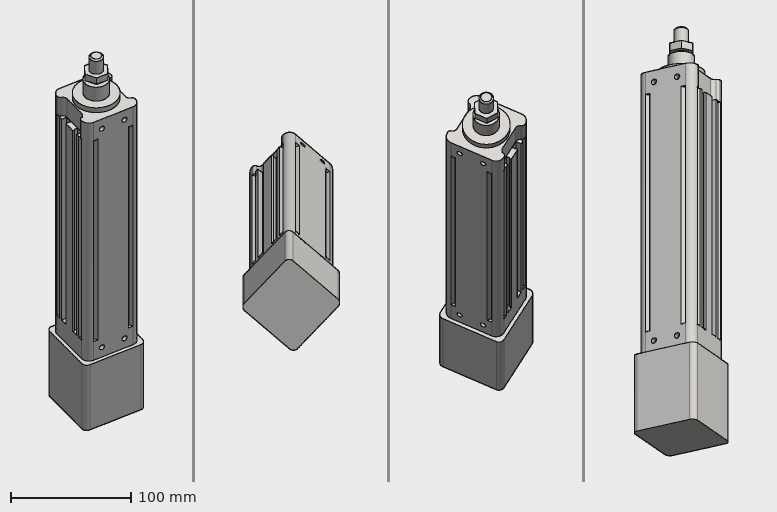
import cadquery as cq
import math

total_height = 370
motor_height = 70.0
body_height = 255.0
flange_thickness = 5.0
boss_height = 14.8
nut_gap = 3.0
nut_height = 7.0

body_top = motor_height + body_height
flange_top = body_top + flange_thickness
boss_top = flange_top + boss_height
nut_bottom = boss_top + nut_gap

motor_side = 60.0
motor_corner_radius = 4.8
body_side = 53.3
body_corner_radius = 7.5
body_half = body_side / 2
flat_half = body_half - body_corner_radius

flange_diameter = 40.0
boss_diameter = 22.2
rod_diameter = 12.2
rod_chamfer = 1.5
nut_across_flats = 19.2
nut_across_corners = nut_across_flats / math.cos(math.pi / 6)

groove_end_margin = 20.0
groove_bottom = motor_height + groove_end_margin
groove_top = body_top - groove_end_margin
groove_length = groove_top - groove_bottom

recess_mouth_half = 18.5
recess_floor_half = 12.0
recess_floor_radius = 4.0
recess_depth = 5.0
slot_depth = 4.8
rib_half = 5.0
rib_bead_width = 1.0
rib_bead_depth = 1.0

v_groove_inner = 14.8
v_groove_apex = 17.5
v_groove_outer = flat_half
v_groove_depth = 3.5

hole_diameter = 4.8
hole_depth = 5.5
hole_point_length = 2.0
hole_spacing = 22.2
hole_end_distance = 10.5


def cylinder(diameter, bottom, top):
    return cq.Workplane("XY").workplane(offset=bottom).circle(diameter / 2).extrude(top - bottom)


def square_bar(side, corner_radius, bottom, height):
    bar = cq.Workplane("XY").box(side, side, height, centered=(True, True, False))
    return bar.edges("|Z").fillet(corner_radius).translate((0, 0, bottom))


def facing(cutter, angle):
    """Turn a cutter made for the -Y face about the body axis."""
    return cutter.rotate((0, 0, 0), (0, 0, 1), angle)


def top_recess():
    """Recess at the body top whose sides are S-curves of two tangent arcs."""
    face_y = -body_half
    floor_y = face_y + recess_depth
    side_run = recess_mouth_half - recess_floor_half
    turn = 2 * math.atan2(recess_depth, side_run)
    mouth_radius = side_run / math.sin(turn) - recess_floor_radius

    def mouth_arc(angle):
        return (
            recess_mouth_half - mouth_radius * math.sin(angle),
            face_y + mouth_radius * (1 - math.cos(angle)),
        )

    def floor_arc(angle):
        return (
            recess_floor_half + recess_floor_radius * math.sin(angle),
            floor_y - recess_floor_radius * (1 - math.cos(angle)),
        )

    half_outline = (
        cq.Workplane("XY")
        .workplane(offset=groove_top)
        .moveTo(0, face_y)
        .lineTo(*mouth_arc(0))
        .threePointArc(mouth_arc(turn / 2), mouth_arc(turn))
        .threePointArc(floor_arc(turn / 2), floor_arc(0))
        .lineTo(0, floor_y)
        .close()
    )
    half_recess = half_outline.extrude(groove_end_margin)
    return half_recess.union(half_recess.mirror("YZ"))


def mirrored_grooves(points):
    """Pair of grooves in the -Y face; points are (distance from the face middle, depth)."""
    outline = [(x, depth - body_half) for x, depth in points]
    sketch = cq.Workplane("XY").workplane(offset=groove_bottom).polyline(outline).close()
    groove = sketch.extrude(groove_length)
    return groove.union(groove.mirror("YZ"))


def mounting_holes():
    """Four drilled holes with pointed ends in the -Y face."""
    hole_radius = hole_diameter / 2
    drill = (
        cq.Workplane("XY")
        .moveTo(0, -body_half)
        .lineTo(hole_radius, -body_half)
        .lineTo(hole_radius, hole_depth - body_half)
        .lineTo(0, hole_depth + hole_point_length - body_half)
        .close()
        .revolve(360, (0, 0, 0), (0, 1, 0))
    )
    holes = cq.Workplane("XY")
    for x in (-hole_spacing / 2, hole_spacing / 2):
        for z in (motor_height + hole_end_distance, body_top - hole_end_distance):
            holes = holes.union(drill.translate((x, 0, z)))
    return holes


slots = mirrored_grooves(
    [
        (rib_half, 0),
        (recess_floor_half, 0),
        (recess_floor_half, slot_depth),
        (rib_half, slot_depth),
        (rib_half, 2 * rib_bead_depth),
        (rib_half + rib_bead_width, rib_bead_depth),
    ]
)
v_grooves = mirrored_grooves(
    [(v_groove_inner, 0), (v_groove_apex, v_groove_depth), (v_groove_outer, 0)]
)

body = square_bar(body_side, body_corner_radius, motor_height, body_height)
for angle in (0, 180):
    body = body.cut(facing(top_recess(), angle)).cut(facing(slots, angle))
for angle in (90, 270):
    body = body.cut(facing(mounting_holes(), angle))
for angle in (0, 90, 180, 270):
    body = body.cut(facing(v_grooves, angle))

rod = cylinder(rod_diameter, body_top, total_height).faces(">Z").chamfer(rod_chamfer)
nut = (
    cq.Workplane("XY")
    .workplane(offset=nut_bottom)
    .polygon(6, nut_across_corners)
    .extrude(nut_height)
    .rotate((0, 0, 0), (0, 0, 1), 90)
)

result = (
    square_bar(motor_side, motor_corner_radius, 0, motor_height)
    .union(body)
    .union(cylinder(flange_diameter, body_top, flange_top))
    .union(cylinder(boss_diameter, flange_top, boss_top))
    .union(rod)
    .union(nut)
)